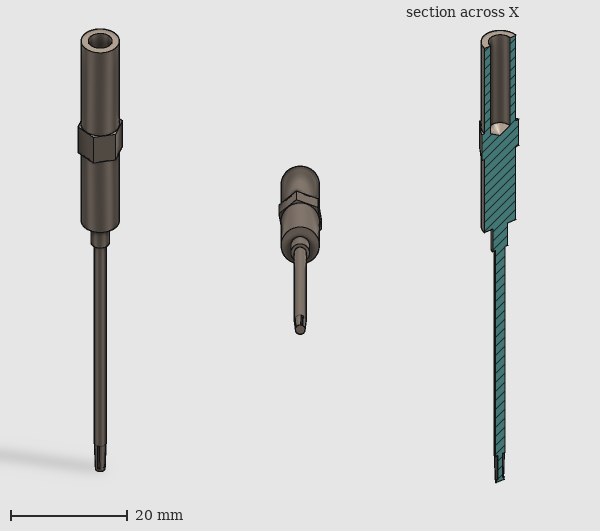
import cadquery as cq
import math

total_length = 94
body_bottom = 54.5
hex_bottom = 70.1
hex_height = 5.6
neck_bottom = 49.7
taper_top = 5.6
slot_bottom = 0.6

hex_across_flats = 6.8
body_diameter = 6.6
neck_diameter = 3.2
rod_diameter = 2.1
tip_diameter = 1.7
bore_diameter = 4.0

bore_depth = 18.8
drill_point_angle = 118

slot_count = 4
slot_width = 0.4
slot_floor_radius = 0.6


def cylinder(diameter, bottom, top):
    return cq.Workplane("XY").workplane(offset=bottom).circle(diameter / 2).extrude(top - bottom)


def hex_collar():
    across_corners = hex_across_flats / math.cos(math.pi / 6)
    return (
        cq.Workplane("XY")
        .workplane(offset=hex_bottom)
        .polygon(6, across_corners)
        .extrude(hex_height)
        .rotate((0, 0, 0), (0, 0, 1), 90)
    )


def drilled_bore():
    radius = bore_diameter / 2
    shoulder = total_length - bore_depth
    apex = shoulder - radius / math.tan(math.radians(drill_point_angle / 2))
    profile = [(0, total_length), (radius, total_length), (radius, shoulder), (0, apex)]
    return cq.Workplane("XZ").polyline(profile).close().revolve(360, (0, 0), (0, 1))


def tapered_tip():
    profile = [(0, 0), (tip_diameter / 2, 0), (rod_diameter / 2, taper_top), (0, taper_top)]
    return cq.Workplane("XZ").polyline(profile).close().revolve(360, (0, 0), (0, 1))


def tip_slots():
    """Radial slots along the tapered tip, stopping short of its end."""
    depth = rod_diameter / 2 - slot_floor_radius
    slot = (
        cq.Workplane("XY")
        .box(depth, slot_width, taper_top - slot_bottom, centered=(False, True, False))
        .translate((slot_floor_radius, 0, slot_bottom))
    )
    slots = slot
    for index in range(1, slot_count):
        slots = slots.union(slot.rotate((0, 0, 0), (0, 0, 1), 360 / slot_count * index))
    return slots


body = cylinder(body_diameter, body_bottom, total_length)
neck = cylinder(neck_diameter, neck_bottom, body_bottom)
rod = cylinder(rod_diameter, taper_top, neck_bottom)

result = body.union(hex_collar()).union(neck).union(rod).union(tapered_tip())
result = result.cut(drilled_bore()).cut(tip_slots())